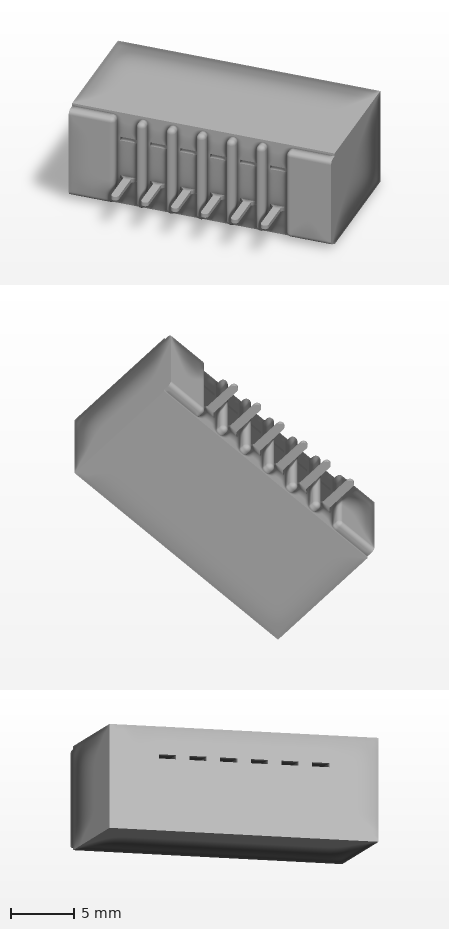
import cadquery as cq
import math

LENGTH = 22.23
HEIGHT = 8.38
DEPTH = 10.34

CONTACTS_PER_ROW = 6
PITCH = 2.53
ROW_Z = 1.78

SLOT_WIDTH = 1.42
SLOT_HEIGHT = 0.33
PIN_TAIL_LENGTH = 3.31
PIN_TAIL_WIDTH = 0.65
PIN_TAPER_END = 0.3
PIN_TAPER_LENGTH = (SLOT_WIDTH - PIN_TAIL_WIDTH) / 2

STANDOFF_DEPTH = 0.78
STANDOFF_HEIGHT = 7.85
RIB_WIDTH = 0.75
STANDOFF_FILLET = RIB_WIDTH / 2
END_PAD_WIDTH = 3.85

first_contact_x = -PITCH * (CONTACTS_PER_ROW - 1) / 2
contact_xs = [first_contact_x + i * PITCH for i in range(CONTACTS_PER_ROW)]
rib_xs = [x + PITCH / 2 for x in contact_xs[:-1]]


def make_rib(x):
    """Upright rib on the board-side face with a fully round crest and round ends."""
    axis_y = STANDOFF_FILLET - STANDOFF_DEPTH
    half_height = STANDOFF_HEIGHT / 2
    straight_z = half_height - STANDOFF_FILLET
    arc_offset = STANDOFF_FILLET * math.sqrt(0.5)
    base = cq.Workplane("XZ").slot2D(STANDOFF_HEIGHT, RIB_WIDTH, 90).extrude(-axis_y)
    crest = (
        cq.Workplane("XZ")
        .moveTo(0, -half_height)
        .threePointArc((arc_offset, -straight_z - arc_offset), (STANDOFF_FILLET, -straight_z))
        .lineTo(STANDOFF_FILLET, straight_z)
        .threePointArc((arc_offset, straight_z + arc_offset), (0, half_height))
        .close()
        .revolve(360, (0, 0, 0), (0, 1, 0))
        .translate((0, axis_y, 0))
    )
    return base.union(crest).translate((x, 0, 0))


def make_end_pad():
    """Left end pad, flush with the end of the housing and rounded on its other outer edges."""
    return (
        cq.Workplane("XY")
        .box(END_PAD_WIDTH, STANDOFF_DEPTH, STANDOFF_HEIGHT)
        .edges("(|Y and >X) or (<Y and (not <X))")
        .fillet(STANDOFF_FILLET)
        .translate(((END_PAD_WIDTH - LENGTH) / 2, -STANDOFF_DEPTH / 2, 0))
    )


def make_slots():
    """Through slots for both contact rows."""
    slot_centers = [(x, z) for x in contact_xs for z in (-ROW_Z, ROW_Z)]
    return (
        cq.Workplane("XZ")
        .pushPoints(slot_centers)
        .rect(SLOT_WIDTH, SLOT_HEIGHT)
        .extrude(-DEPTH)
    )


def make_housing():
    body = cq.Workplane("XY").box(LENGTH, DEPTH, HEIGHT).translate((0, DEPTH / 2, 0))
    for x in rib_xs:
        body = body.union(make_rib(x))
    end_pad = make_end_pad()
    body = body.union(end_pad).union(end_pad.mirror("YZ"))
    return body.cut(make_slots())


def make_pin(x):
    """Flat pin: a blade filling its slot, tapered shoulders and a round-ended tail."""
    half_blade = SLOT_WIDTH / 2
    half_tail = PIN_TAIL_WIDTH / 2
    taper_start_y = PIN_TAPER_LENGTH - PIN_TAPER_END
    round_y = half_tail - PIN_TAIL_LENGTH
    return (
        cq.Workplane("XY")
        .moveTo(-half_blade, DEPTH)
        .lineTo(-half_blade, taper_start_y)
        .lineTo(-half_tail, -PIN_TAPER_END)
        .lineTo(-half_tail, round_y)
        .threePointArc((0, -PIN_TAIL_LENGTH), (half_tail, round_y))
        .lineTo(half_tail, -PIN_TAPER_END)
        .lineTo(half_blade, taper_start_y)
        .lineTo(half_blade, DEPTH)
        .close()
        .extrude(SLOT_HEIGHT / 2, both=True)
        .translate((x, 0, -ROW_Z))
    )


housing = make_housing()
pins = [make_pin(x) for x in contact_xs]

result = cq.Compound.makeCompound([housing.val(), *[pin.val() for pin in pins]])